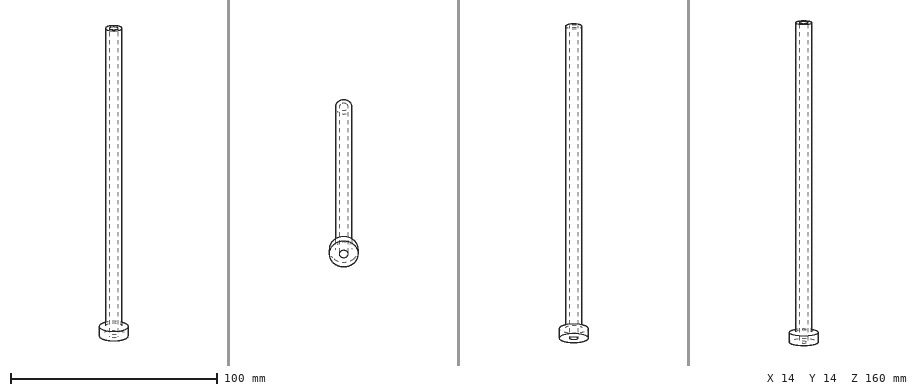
import cadquery as cq

total_length = 160.0
head_diameter = 14.0
head_thickness = 5.0
tube_diameter = 8.0
bore_diameter = 4.2
neck_fillet = 0.5

head = cq.Workplane("XY").circle(head_diameter / 2).extrude(head_thickness)
tube = cq.Workplane("XY").circle(tube_diameter / 2).extrude(total_length)
body = head.union(tube)

neck_edge = cq.selectors.RadiusNthSelector(0)
body = body.faces("<Z[1]").edges(neck_edge).fillet(neck_fillet)

bore = cq.Workplane("XY").circle(bore_diameter / 2).extrude(total_length)
result = body.cut(bore)